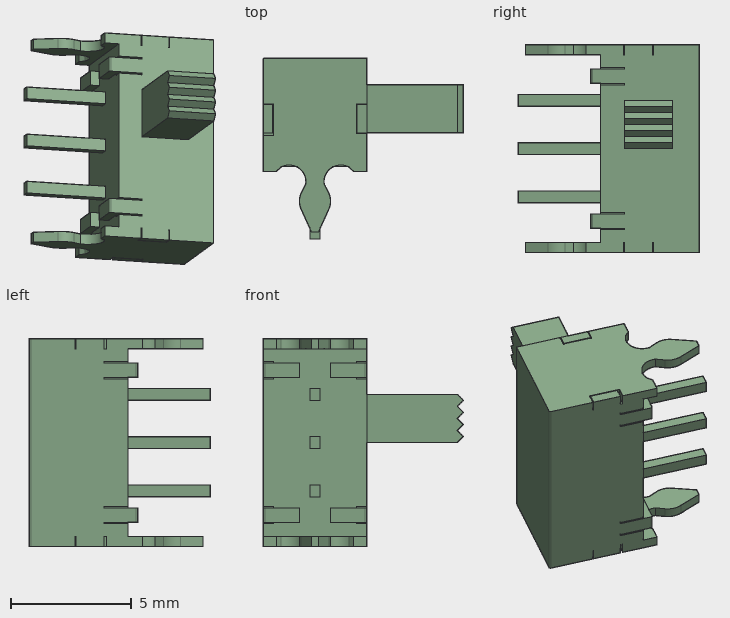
import cadquery as cq
import math


body_width = 4.3
body_depth = 4.1
total_height = 8.62
sheet = 0.43
bend_radius = 0.07
half_width = body_width / 2
half_height = total_height / 2

shoulder_depth = 4.7
leg_tip_depth = 7.2
leg_tip_half = 0.15
relief_radius = 0.69
neck_half = 0.38
relief_x = neck_half + relief_radius
relief_y = -(shoulder_depth + 0.42)
neck_corner_drop = 0.1
barb_half = 0.65
barb_radius = 0.8
barb_y = -5.93
relief_entry_outer = 1.6
relief_entry_inner = 1.4

tab_start = 1.93
tab_end = 3.1
tab_clearance = 0.03
left_tab_relief = 0.1

clip_reach = 1.5
clip_thickness = 0.4
clip_height = 0.6
clip_offset = 3.0
slit_width = 0.06

pin_width = 0.43
pin_height = 0.5
pin_tip_depth = 7.5
pin_pitch = 2.0
pin_count = 3

lever_size = 2.0
lever_back_depth = 1.1
lever_length = 4.0
lever_bottom = 0.0
tooth_count = 4
tooth_depth = 0.25
tooth_pitch = lever_size / tooth_count


def box(x_range, y_range, z_range):
    """Box between the given lower and upper limits."""
    size = [high - low for low, high in (x_range, y_range, z_range)]
    corner = (x_range[0], y_range[0], z_range[0])
    return cq.Workplane("XY").box(*size, centered=False).translate(corner)


def mirror_x(point):
    return (-point[0], point[1])


def point_on_circle(centre, radius, angle):
    return (centre[0] + radius * math.cos(angle), centre[1] + radius * math.sin(angle))


def tangent_angle(point, centre, radius, turn):
    """Angle on a circle where the tangent through an outside point touches it.

    A turn of 1 gives the contact counterclockwise from the point, -1 the clockwise one.
    """
    offset_x = point[0] - centre[0]
    offset_y = point[1] - centre[1]
    distance = math.hypot(offset_x, offset_y)
    return math.atan2(offset_y, offset_x) + turn * math.acos(radius / distance)


def make_housing():
    block = box((-half_width, half_width), (-body_depth, 0), (-half_height, half_height))
    return block.edges("|Z and <X and >Y").fillet(bend_radius)


def make_end_plate(bottom):
    """Front part of an end plate, ahead of the housing, with its barbed leg."""
    relief_centre = (relief_x, relief_y)
    barb_centre = (barb_half - barb_radius, barb_y)
    leg_tip = (leg_tip_half, -leg_tip_depth)

    entry_angle = math.acos((relief_entry_inner - relief_x) / relief_radius)
    relief_entry = point_on_circle(relief_centre, relief_radius, entry_angle)
    relief_exit_angle = math.pi + math.asin(neck_corner_drop / relief_radius)
    neck_corner = point_on_circle(relief_centre, relief_radius, relief_exit_angle)
    relief_middle = point_on_circle(
        relief_centre, relief_radius, (entry_angle + relief_exit_angle) / 2
    )

    upper_angle = tangent_angle(neck_corner, barb_centre, barb_radius, -1)
    lower_angle = tangent_angle(leg_tip, barb_centre, barb_radius, 1)
    barb_start = point_on_circle(barb_centre, barb_radius, upper_angle)
    barb_middle = point_on_circle(barb_centre, barb_radius, (upper_angle + lower_angle) / 2)
    barb_end = point_on_circle(barb_centre, barb_radius, lower_angle)

    shoulder = (relief_entry_outer, -shoulder_depth)

    outline = (
        cq.Workplane("XY", origin=(0, 0, bottom))
        .moveTo(-half_width, -body_depth)
        .lineTo(half_width, -body_depth)
        .lineTo(half_width, -shoulder_depth)
        .lineTo(*shoulder)
        .lineTo(*relief_entry)
        .threePointArc(relief_middle, neck_corner)
        .lineTo(*barb_start)
        .threePointArc(barb_middle, barb_end)
        .lineTo(*leg_tip)
        .lineTo(*mirror_x(leg_tip))
        .lineTo(*mirror_x(barb_end))
        .threePointArc(mirror_x(barb_middle), mirror_x(barb_start))
        .lineTo(*mirror_x(neck_corner))
        .threePointArc(mirror_x(relief_middle), mirror_x(relief_entry))
        .lineTo(*mirror_x(shoulder))
        .lineTo(-half_width, -shoulder_depth)
        .close()
    )
    return outline.extrude(sheet)


def make_tab_gap(side, bottom):
    """Narrow gap around the side wall tab on one side (-1 or +1) of an end plate."""
    front_gap = left_tab_relief if side < 0 else tab_clearance
    z_range = (bottom, bottom + sheet)
    notch_x = sorted((side * half_width, side * (half_width - sheet)))
    tab_x = sorted((side * half_width, side * (half_width - sheet + tab_clearance)))
    notch = box(notch_x, (-tab_end - front_gap, -tab_start + tab_clearance), z_range)
    tab = box(tab_x, (-tab_end, -tab_start), z_range)
    return notch.cut(tab)


def make_clip(side, z_centre):
    x_range = sorted((side * half_width, side * (half_width - clip_reach)))
    y_range = (-body_depth - clip_thickness, -body_depth)
    z_range = (z_centre - clip_height / 2, z_centre + clip_height / 2)
    outer_edge = "|Z and <Y and " + ("<X" if side < 0 else ">X")
    return box(x_range, y_range, z_range).edges(outer_edge).fillet(bend_radius)


def make_clip_slits(side, z_centre):
    """Slits through the side wall, above and below a clip."""
    x_range = sorted((side * half_width, side * (half_width - sheet)))
    y_range = (-body_depth, -tab_end)
    clip_bottom = z_centre - clip_height / 2
    clip_top = z_centre + clip_height / 2
    lower = box(x_range, y_range, (clip_bottom - slit_width, clip_bottom))
    upper = box(x_range, y_range, (clip_top, clip_top + slit_width))
    return lower.union(upper)


def make_pin(z_centre):
    return box(
        (-pin_width / 2, pin_width / 2),
        (-pin_tip_depth, -body_depth),
        (z_centre - pin_height / 2, z_centre + pin_height / 2),
    )


def make_lever():
    """Square lever whose end carries a row of V-shaped teeth."""
    tip_x = half_width + lever_length
    root_x = tip_x - tooth_depth
    profile = (
        cq.Workplane("XZ", origin=(0, -lever_back_depth, 0))
        .moveTo(half_width, lever_bottom)
        .lineTo(root_x, lever_bottom)
    )
    for index in range(tooth_count):
        tooth_bottom = lever_bottom + index * tooth_pitch
        profile = profile.lineTo(tip_x, tooth_bottom + tooth_pitch / 2)
        profile = profile.lineTo(root_x, tooth_bottom + tooth_pitch)
    profile = profile.lineTo(half_width, lever_bottom + lever_size).close()
    return profile.extrude(lever_size)


result = make_housing().union(make_lever())

for plate_bottom in (-half_height, half_height - sheet):
    result = result.union(make_end_plate(plate_bottom))
    for side in (-1, 1):
        result = result.cut(make_tab_gap(side, plate_bottom))

for clip_z in (-clip_offset, clip_offset):
    for side in (-1, 1):
        result = result.union(make_clip(side, clip_z))
        result = result.cut(make_clip_slits(side, clip_z))

for pin_index in range(pin_count):
    pin_z = (pin_index - (pin_count - 1) / 2) * pin_pitch
    result = result.union(make_pin(pin_z))